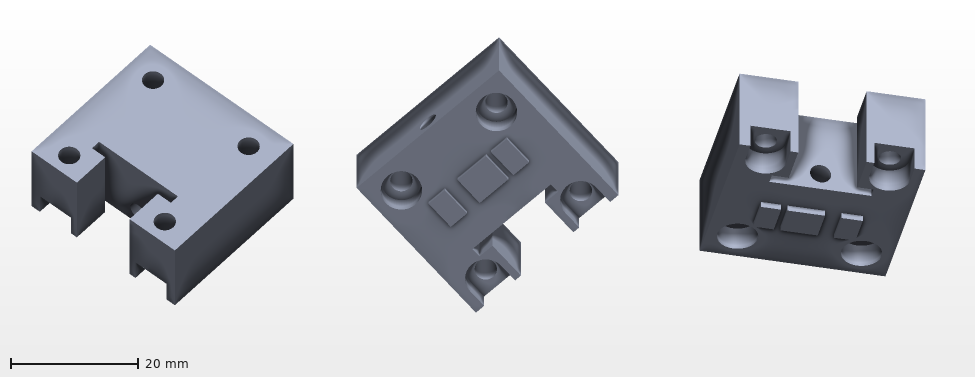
import cadquery as cq

block_width = 30.0
block_depth = 28.3
block_height = 14.0
overall_height = 15.0
front_y = -block_depth / 2
back_y = block_depth / 2

hole_diameter = 3.5
hole_spacing = 20.0
hole_back_margin = (block_width - hole_spacing) / 2
counterbore_diameter = 6.5
counterbore_depth = 4.0
hole_x = hole_spacing / 2
back_hole_y = back_y - hole_back_margin
front_hole_y = back_hole_y - hole_spacing

slot_neck_width = 11.05
slot_head_width = 16.5
slot_depth = 8.43
slot_neck_depth = 6.75

cross_hole_diameter = 3.4
cross_hole_height = 3.0

pad_height = overall_height - block_height
pad_front_offset = 13.8
pad_length = 5.25
pad_spans = [(-8.43, -5.13), (-4.08, 1.95), (4.62, 8.05)]


def box(left, right, front, back, bottom, top):
    """Box given by its limits along X, Y and Z."""
    return (
        cq.Workplane("XY", origin=(left, front, bottom))
        .box(right - left, back - front, top - bottom, centered=False)
    )


def cylinder(x, y, diameter, height):
    """Vertical cylinder standing on the underside of the block."""
    return cq.Workplane("XY").center(x, y).circle(diameter / 2).extrude(height)


def front_slot(width, depth):
    """Full-height slot centred on the front face."""
    return box(-width / 2, width / 2, front_y, front_y + depth, 0, block_height)


def front_counterbore(x):
    """Counterbore that runs out through the front face as a U-shaped channel."""
    radius = counterbore_diameter / 2
    channel = box(x - radius, x + radius, front_y, front_hole_y, 0, counterbore_depth)
    return cylinder(x, front_hole_y, counterbore_diameter, counterbore_depth).union(channel)


result = box(-block_width / 2, block_width / 2, front_y, back_y, 0, block_height)

slot_head = box(
    -slot_head_width / 2, slot_head_width / 2,
    front_y + slot_neck_depth, front_y + slot_depth,
    0, block_height,
)
result = result.cut(front_slot(slot_neck_width, slot_depth)).cut(slot_head)

for x in (-hole_x, hole_x):
    for y in (front_hole_y, back_hole_y):
        result = result.cut(cylinder(x, y, hole_diameter, block_height))
    result = result.cut(front_counterbore(x))
    result = result.cut(cylinder(x, back_hole_y, counterbore_diameter, counterbore_depth))

cross_hole = (
    cq.Workplane("XZ", origin=(0, back_y, cross_hole_height))
    .circle(cross_hole_diameter / 2)
    .extrude(block_depth)
)
result = result.cut(cross_hole)

pad_front = front_y + pad_front_offset
for left, right in pad_spans:
    result = result.union(box(left, right, pad_front, pad_front + pad_length, -pad_height, 0))